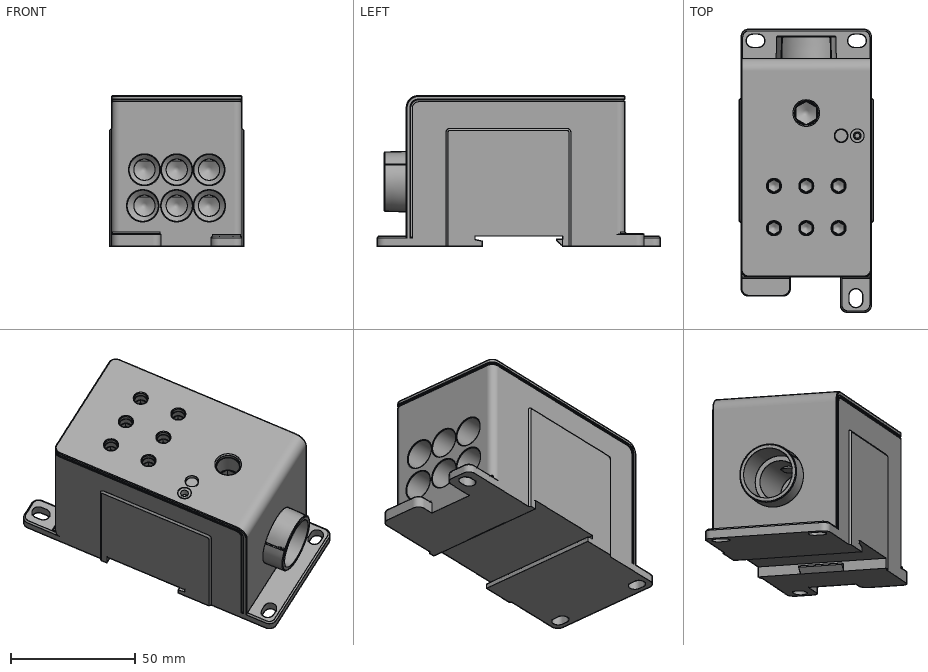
import cadquery as cq
import math

length = 114.0
height = 60.6
width = 52.4
body_front = 14.4
body_back = 102.3
back_corner_radius = 5.0
corner_radius = 3.1

cover_thickness = 1.8
cover_chamfer = 0.3
groove_width = 0.7
groove_depth = 0.28

panel_span = 54.0
panel_front = 36.0
panel_back = 86.3
panel_height = 47.4
panel_chamfer = 0.8
panel_corner_radius = 1.7

foot_height = 4.1
foot_chamfer = 0.7
rear_slot_size = (7.4, 5.2)
rear_slot_x = 20.4
rear_slot_y = 109.3
screw_lug_width = 12.5
front_slot_size = (7.5, 5.5)
front_slot_x = 20.0
front_slot_y = 5.8
plain_lug_width = 19.8
plain_lug_front = 6.6
plain_lug_height = 5.1
plain_lug_chamfer = 0.3
lug_root_chamfer = 0.7

rail_front = 39.3
rail_back = 74.5
rail_height = 4.1
rear_hook_reach = 3.0
rear_hook_root = 2.7
rear_hook_tip = 2.0
front_hook_reach = 2.4
front_hook_width = 18.2
front_hook_top = 2.8
front_hook_tip = 2.3

sleeve_z = 26.0
sleeve_tip_y = 111.2
sleeve_tip_diameter = 23.9
sleeve_root_diameter = 24.6
sleeve_tip_chamfer = 0.3
sleeve_bore = 20.5
sleeve_bore_end = 95.8
terminal_bore = 16.5
terminal_bore_end = 68.4
sleeve_slit_height = 7.0
sleeve_slit_width = 0.5
sleeve_slit_depth = 0.5

outlet_bore = 8.5
outlet_pitch = 13.0
outlet_rim_chamfer = 0.2
mouth_depth = 13.7
funnel_end = 6.6
upper_bore_end = 42.2
lower_bore_end = 59.3
outlet_upper_z = 30.8
outlet_lower_z = 16.3
upper_mouth = 12.8
lower_mouth = 13.0
lower_mouth_x = (-13.7, 0.0, 13.1)
drill_half_angle = math.radians(59)

main_screw_y = 80.3
main_screw_hole = 10.7
main_screw_guide = 9.7
main_screw_head = 9.2
main_screw_hex = 8.2
main_screw_depth = 10.3
branch_screw_rows = (34.0, 51.0)
branch_screw_hole = 6.0
branch_screw_guide = 5.4
branch_screw_head = 5.0
branch_screw_hex = 4.5
branch_screw_depth = 4.6
screw_tip_reach = 0.8
hex_turn = 30

marker_y = 71.1
label_marker_x = 14.0
pocket_marker_x = 20.5
marker_diameter = 5.5
label_marker_floor = 5.0
label_marker_depth = 1.1
pocket_marker_depth = 0.3
pocket_mouth = 3.1
pocket_floor = 2.0
pocket_depth = 2.3


def box(x0, x1, y0, y1, z0, z1):
    return cq.Workplane("XY").box(x1 - x0, y1 - y0, z1 - z0, centered=False).translate((x0, y0, z0))


def block(inset, side_inset):
    """Body with the top and back moved in by `inset` and the sides and front by `side_inset`."""
    front = body_front + side_inset
    solid = box(
        side_inset - width / 2, width / 2 - side_inset,
        front, body_back - inset,
        0, height - inset,
    )
    solid = solid.edges(">Z and >Y").fillet(back_corner_radius - inset)
    return solid.edges("|Z and <Y").fillet(corner_radius - side_inset)


def make_body():
    """Lower body and cover, joined by a filler whose recessed sides leave the parting groove."""
    lower = block(cover_thickness + groove_width, 0)
    filler = block(cover_thickness / 2, groove_depth)
    cover = block(0, 0).cut(block(cover_thickness, 0)).intersect(
        box(-width, width, 0, length, foot_height / 2, height)
    )
    flank = cover.faces("<X or >X or <Y").edges()
    rim = flank.filter(lambda e: e.Center().z > foot_height)
    rim = rim.filter(lambda e: e.geomType() != "LINE" or e.Length() > 2 * cover_thickness)
    cover = rim.chamfer(cover_chamfer)
    return lower.union(filler).union(cover)


def make_panels():
    panels = box(-panel_span / 2, panel_span / 2, panel_front, panel_back, 0, panel_height)
    panels = panels.edges("|X and >Z").fillet(panel_corner_radius)
    rims = panels.faces("<X or >X").edges().filter(lambda e: e.Center().z > 0)
    return rims.chamfer(panel_chamfer)


def make_foot():
    foot = box(-width / 2, width / 2, body_back - back_corner_radius, length, 0, foot_height)
    foot = foot.edges("|Z and >Y").fillet(corner_radius)
    foot = foot.faces(">Z").edges("not <Y").chamfer(foot_chamfer)
    slots = (
        cq.Workplane("XY").pushPoints([(-rear_slot_x, rear_slot_y), (rear_slot_x, rear_slot_y)])
        .slot2D(*rear_slot_size).extrude(foot_height)
    )
    return foot.cut(slots)


def make_lug(x0, x1, front, lug_height, chamfer):
    """Lug in front of the body, with a small sloped web where it meets the wall."""
    lug = box(x0, x1, front, body_front + corner_radius, 0, lug_height)
    lug = lug.edges("|Z and <Y").fillet(corner_radius)
    lug = lug.faces(">Z").edges("not >Y").chamfer(chamfer)
    web = (
        cq.Workplane("YZ").moveTo(body_front - lug_root_chamfer, lug_height)
        .line(lug_root_chamfer, lug_root_chamfer).line(corner_radius, 0)
        .vLineTo(lug_height - chamfer).hLineTo(body_front - lug_root_chamfer).close()
        .extrude(x1 - x0 - 2 * chamfer).translate((x0 + chamfer, 0, 0))
    )
    return lug.union(web)


def make_lugs():
    plain = make_lug(
        -width / 2, plain_lug_width - width / 2, plain_lug_front, plain_lug_height, plain_lug_chamfer
    )
    screwed = make_lug(width / 2 - screw_lug_width, width / 2, 0, foot_height, foot_chamfer)
    slot = (
        cq.Workplane("XY").center(front_slot_x, front_slot_y)
        .slot2D(*front_slot_size, angle=90).extrude(foot_height)
    )
    return plain.union(screwed.cut(slot))


def make_rail_slot():
    slot = (
        cq.Workplane("YZ").moveTo(rail_front, 0).vLineTo(rail_height).hLineTo(rail_back)
        .vLineTo(rear_hook_root).lineTo(rail_back - rear_hook_reach, rear_hook_tip).vLineTo(0)
        .close().extrude(panel_span, both=True)
    )
    hook = (
        cq.Workplane("YZ").moveTo(rail_front, 0).vLineTo(front_hook_top)
        .hLine(front_hook_reach).vLineTo(front_hook_tip).close()
        .extrude(front_hook_width / 2, both=True)
    )
    return slot.cut(hook)


def back_cylinder(diameter, y_start, y_end):
    return (
        cq.Workplane("XZ", origin=(0, y_end, sleeve_z)).circle(diameter / 2).extrude(y_end - y_start)
    )


def make_sleeve():
    """Tapered sleeve with a shallow slit along each flank, above its axis."""
    sleeve = (
        cq.Workplane("XZ", origin=(0, sleeve_tip_y, sleeve_z)).circle(sleeve_tip_diameter / 2)
        .workplane(offset=sleeve_tip_y - sleeve_bore_end).circle(sleeve_root_diameter / 2).loft()
    )
    sleeve = sleeve.faces(">Y").chamfer(sleeve_tip_chamfer)
    core = back_cylinder(sleeve_tip_diameter - 2 * sleeve_slit_depth, sleeve_bore_end, sleeve_tip_y)
    slit_z = sleeve_z + sleeve_slit_height
    slit = box(
        -width / 2, width / 2, body_back, sleeve_tip_y,
        slit_z - sleeve_slit_width / 2, slit_z + sleeve_slit_width / 2,
    )
    return sleeve.cut(slit.cut(core))


def make_sleeve_bore():
    """Cable entry that steps down to the terminal bore held by the main screw."""
    terminal = back_cylinder(terminal_bore, terminal_bore_end, sleeve_tip_y)
    terminal = terminal.cut(make_screw_tip(main_screw_y, main_screw_head, sleeve_z, terminal_bore))
    return back_cylinder(sleeve_bore, sleeve_bore_end, sleeve_tip_y).union(terminal)


def make_screw_tip(y, diameter, bore_z, bore):
    """Flat end of a clamping screw, standing slightly into the bore below it."""
    tip = cq.Workplane("XY", origin=(0, y, bore_z + bore / 2 - screw_tip_reach))
    return tip.circle(diameter / 2).extrude(bore / 2)


def make_outlet(x, z, mouth_x, mouth_diameter, bore_end, screw_y):
    """Wide mouth, 45-degree funnel, bore and drill point, entered from the front face."""
    mouth_radius = mouth_diameter / 2
    funnel_length = mouth_radius - outlet_rim_chamfer - funnel_end / 2
    funnel = (
        cq.Workplane("XY").moveTo(0, body_front).hLine(mouth_radius)
        .line(-outlet_rim_chamfer, outlet_rim_chamfer)
        .vLineTo(body_front + mouth_depth).line(-funnel_length, funnel_length).hLineTo(0).close()
        .revolve(360, (0, 0), (0, 1)).translate((mouth_x, 0, z))
    )
    point_depth = outlet_bore / 2 / math.tan(drill_half_angle)
    bore = (
        cq.Workplane("XY").moveTo(0, body_front).hLine(outlet_bore / 2).vLineTo(bore_end)
        .lineTo(0, bore_end + point_depth).close()
        .revolve(360, (0, 0), (0, 1)).translate((x, 0, z))
    )
    screw_tip = make_screw_tip(screw_y, branch_screw_head, z, outlet_bore).translate((x, 0, 0))
    return funnel.union(bore).cut(screw_tip)


def make_outlets():
    front_screw_y, rear_screw_y = branch_screw_rows
    outlets = []
    for column, lower_x in zip((-1, 0, 1), lower_mouth_x):
        x = column * outlet_pitch
        outlets.append(make_outlet(x, outlet_upper_z, x, upper_mouth, upper_bore_end, front_screw_y))
        outlets.append(make_outlet(x, outlet_lower_z, lower_x, lower_mouth, lower_bore_end, rear_screw_y))
    return outlets


def make_screw_hole(x, y, hole, guide, head, hex_size, depth):
    """Access hole, narrower below the cover, down to a screw head with a hexagonal, drilled socket."""
    across_corners = hex_size / math.cos(math.pi / 6)
    point_depth = across_corners / 2 / math.tan(drill_half_angle)
    access = (
        cq.Workplane("XZ").moveTo(0, height).hLine(hole / 2)
        .line((guide - hole) / 2, (guide - hole) / 2).vLineTo(height - cover_thickness)
        .hLineTo(head / 2).vLineTo(height - depth).hLineTo(0).close()
        .revolve(360, (0, 0), (0, 1))
    )
    socket_floor = height - depth - hex_size / 2
    socket = (
        cq.Workplane("XY", origin=(0, 0, socket_floor - point_depth))
        .polygon(6, across_corners).extrude(height - depth - socket_floor + point_depth)
        .rotate((0, 0, 0), (0, 0, 1), hex_turn)
    )
    drill = (
        cq.Workplane("XZ").moveTo(0, socket_floor - point_depth)
        .lineTo(across_corners / 2, socket_floor).vLineTo(height - depth).hLineTo(0).close()
        .revolve(360, (0, 0), (0, 1))
    )
    return access.union(socket.intersect(drill)).translate((x, y, 0))


def make_screw_holes():
    holes = [
        make_screw_hole(
            0, main_screw_y, main_screw_hole, main_screw_guide, main_screw_head,
            main_screw_hex, main_screw_depth,
        )
    ]
    for y in branch_screw_rows:
        for column in (-1, 0, 1):
            holes.append(make_screw_hole(
                column * outlet_pitch, y,
                branch_screw_hole, branch_screw_guide, branch_screw_head,
                branch_screw_hex, branch_screw_depth,
            ))
    return holes


def make_markers():
    label = (
        cq.Workplane("XY", origin=(label_marker_x, marker_y, height)).circle(marker_diameter / 2)
        .workplane(offset=-label_marker_depth).circle(label_marker_floor / 2).loft()
    )
    recess = (
        cq.Workplane("XY", origin=(pocket_marker_x, marker_y, height))
        .circle(marker_diameter / 2).extrude(-pocket_marker_depth)
    )
    pocket = (
        cq.Workplane("XY", origin=(pocket_marker_x, marker_y, height - pocket_marker_depth))
        .circle(pocket_mouth / 2).workplane(offset=-pocket_depth).circle(pocket_floor / 2).loft()
    )
    return [label, recess.union(pocket)]


result = make_body().union(make_panels()).union(make_foot()).union(make_lugs()).union(make_sleeve())
result = result.cut(make_rail_slot()).cut(make_sleeve_bore())
for cutter in make_outlets() + make_screw_holes() + make_markers():
    result = result.cut(cutter)